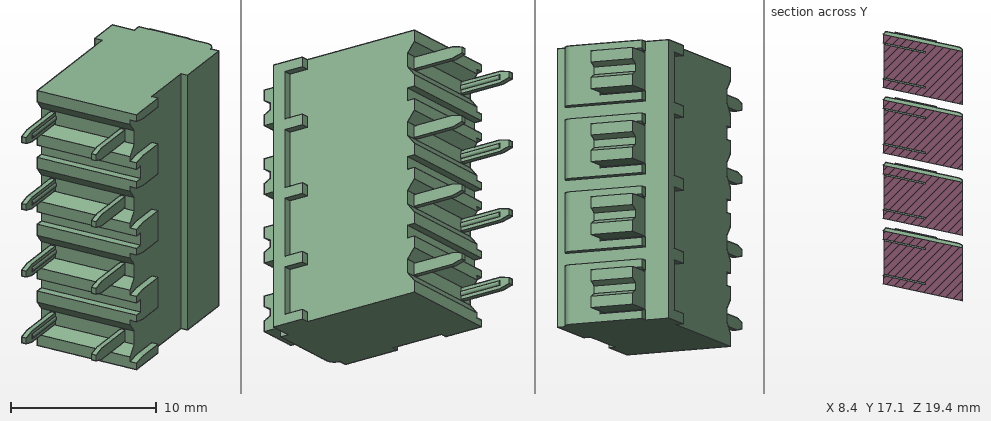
import cadquery as cq

HEIGHT = 19.44
POLE_COUNT = 4
CELL_HEIGHT = 4.16
CELL_GAP = (HEIGHT - POLE_COUNT * CELL_HEIGHT) / (POLE_COUNT - 1)
PITCH = CELL_HEIGHT + CELL_GAP
POLE_CENTRES = [(i - (POLE_COUNT - 1) / 2) * PITCH for i in range(POLE_COUNT)]
GAP_CENTRES = [z + PITCH / 2 for z in POLE_CENTRES[:-1]]

PIN_TAPER_Y = 0.78
BODY_BOTTOM_Y = 3.5
BODY_TOP_Y = 15.07
NOSE_TOP_Y = 15.7
BUTTON_TOP_Y = 17.15

BODY_LEFT_X = 0.58
BODY_RIGHT_X = 8.4
FLANGE_BOTTOM_Y = 12.6
NOTCH_FLOOR_X = 7.9
NOTCH_BOTTOM_Y = 6.53
NOTCH_TOP_Y = 10.65

NOSE_LEFT_X = 1.73
NOSE_RIGHT_X = 7.74

WINDOW_TOP_Y = 14.07
END_RIB = 0.72
MIDDLE_RIB = 0.8

GROOVE_DEPTH = 0.58
GROOVE_FLOOR_Y = BODY_BOTTOM_Y + GROOVE_DEPTH
TROUGH_MOUTH = 2.45
TROUGH_FLOOR = 1.01
CHANNEL_MOUTH = 3.15
CHANNEL_INNER = 2.82
CHANNEL_TAPER_DEPTH = 0.9

BUTTON_LEFT_X = 1.79
BUTTON_RIGHT_X = 4.9
BUTTON_WIDTH = 2.65
BUTTON_NOTCH_MOUTH = 1.07
BUTTON_NOTCH_FLOOR = 0.52
BUTTON_NOTCH_DEPTH = 0.5
SLOT_WIDTH = 2.8
SLOT_MOUTH = 3.03
SLOT_FLARE_DEPTH = 0.3

PIN_CENTRES_X = (1.5, 7.0)
PIN_INWARD_SIGNS = (1, -1)
PIN_THICKNESS = 0.37
PIN_WIDTH = 0.85
PIN_TIP_WIDTH = 0.45
RIDGE_WIDTH = 0.35
RIDGE_HEIGHT = 0.1


def box(x0, x1, y0, y1, z0, z1):
    return cq.Workplane("XY").box(x1 - x0, y1 - y0, z1 - z0, centered=False).translate((x0, y0, z0))


def extrude_along_x(points, x0, x1):
    """Extrude a closed outline of (y, z) points from x0 to x1."""
    return cq.Workplane("YZ").workplane(offset=x0).polyline(points).close().extrude(x1 - x0)


def symmetric(half_outline, z_centre):
    """Mirror (y, half width) points about the centre of a pole into a closed outline."""
    upper = [(y, z_centre + half) for y, half in half_outline]
    lower = [(y, z_centre - half) for y, half in reversed(half_outline)]
    return upper + lower


def housing():
    """Profile of the housing with a rounded nose corner, extruded over the full height."""
    radius = NOSE_TOP_Y - BODY_TOP_Y
    profile = (
        cq.Workplane("XY").workplane(offset=-HEIGHT / 2)
        .moveTo(BODY_LEFT_X, BODY_BOTTOM_Y)
        .lineTo(BODY_RIGHT_X, BODY_BOTTOM_Y)
        .lineTo(BODY_RIGHT_X, NOTCH_BOTTOM_Y)
        .lineTo(NOTCH_FLOOR_X, NOTCH_BOTTOM_Y)
        .lineTo(NOTCH_FLOOR_X, NOTCH_TOP_Y)
        .lineTo(BODY_RIGHT_X, NOTCH_TOP_Y)
        .lineTo(BODY_RIGHT_X, BODY_TOP_Y)
        .lineTo(NOSE_RIGHT_X, BODY_TOP_Y)
        .radiusArc((NOSE_RIGHT_X - radius, NOSE_TOP_Y), -radius)
        .lineTo(NOSE_LEFT_X, NOSE_TOP_Y)
        .lineTo(NOSE_LEFT_X, BODY_TOP_Y)
        .lineTo(0, BODY_TOP_Y)
        .lineTo(0, FLANGE_BOTTOM_Y)
        .lineTo(BODY_LEFT_X, FLANGE_BOTTOM_Y)
        .close()
    )
    return profile.extrude(HEIGHT)


def cell_gap(z):
    """Grooves that part two neighbouring cells on the solder side and on the nose."""
    z0, z1 = z - CELL_GAP / 2, z + CELL_GAP / 2
    solder_side = box(0, BODY_RIGHT_X, BODY_BOTTOM_Y, GROOVE_FLOOR_Y, z0, z1)
    nose_side = box(0, BODY_RIGHT_X, BODY_TOP_Y, NOSE_TOP_Y, z0, z1)
    return solder_side.union(nose_side)


def flange_window(index):
    """Open window in the flange, between the ribs on either side of a pole."""
    z0 = -HEIGHT / 2 + END_RIB if index == 0 else GAP_CENTRES[index - 1] + MIDDLE_RIB / 2
    z1 = HEIGHT / 2 - END_RIB if index == POLE_COUNT - 1 else GAP_CENTRES[index] - MIDDLE_RIB / 2
    return box(0, BODY_LEFT_X, FLANGE_BOTTOM_Y, WINDOW_TOP_Y, z0, z1)


def pin_trough(z):
    """Trough with sloped sides around the two pins of a pole."""
    outline = [(BODY_BOTTOM_Y, TROUGH_MOUTH / 2), (GROOVE_FLOOR_Y, TROUGH_FLOOR / 2)]
    return extrude_along_x(symmetric(outline, z), 0, BODY_RIGHT_X)


def side_channel(z):
    """Channel from the solder side into the side notch, with a tapered mouth."""
    outline = [
        (BODY_BOTTOM_Y, CHANNEL_MOUTH / 2),
        (BODY_BOTTOM_Y + CHANNEL_TAPER_DEPTH, CHANNEL_INNER / 2),
        (NOTCH_BOTTOM_Y, CHANNEL_INNER / 2),
    ]
    return extrude_along_x(symmetric(outline, z), NOTCH_FLOOR_X, BODY_RIGHT_X)


def button_slot(z):
    """Slot in the nose, open towards the flange and flared at its mouth."""
    outline = [
        (BODY_TOP_Y, SLOT_WIDTH / 2),
        (NOSE_TOP_Y - SLOT_FLARE_DEPTH, SLOT_WIDTH / 2),
        (NOSE_TOP_Y, SLOT_MOUTH / 2),
    ]
    return extrude_along_x(symmetric(outline, z), 0, BUTTON_RIGHT_X)


def button(z):
    """Push button with a tapered notch across its end."""
    outline = [
        (BODY_TOP_Y, BUTTON_WIDTH / 2),
        (BUTTON_TOP_Y, BUTTON_WIDTH / 2),
        (BUTTON_TOP_Y, BUTTON_NOTCH_MOUTH / 2),
        (BUTTON_TOP_Y - BUTTON_NOTCH_DEPTH, BUTTON_NOTCH_FLOOR / 2),
    ]
    return extrude_along_x(symmetric(outline, z), BUTTON_LEFT_X, BUTTON_RIGHT_X)


def pin(x, inward, z):
    """Flat solder pin with a tapered tip and a rounded ridge on the face towards the other pin."""
    outline = [(0, PIN_TIP_WIDTH / 2), (PIN_TAPER_Y, PIN_WIDTH / 2), (GROOVE_FLOOR_Y, PIN_WIDTH / 2)]
    blade = extrude_along_x(symmetric(outline, z), x - PIN_THICKNESS / 2, x + PIN_THICKNESS / 2)
    face_x = x + inward * PIN_THICKNESS / 2
    ridge = (
        cq.Workplane("XZ", origin=(0, PIN_TAPER_Y, 0))
        .moveTo(face_x, z - RIDGE_WIDTH / 2)
        .threePointArc((face_x + inward * RIDGE_HEIGHT, z), (face_x, z + RIDGE_WIDTH / 2))
        .close()
        .extrude(PIN_TAPER_Y - GROOVE_FLOOR_Y)
    )
    return blade.union(ridge)


result = housing()
for gap_z in GAP_CENTRES:
    result = result.cut(cell_gap(gap_z))
for pole, pole_z in enumerate(POLE_CENTRES):
    for cutter in (flange_window(pole), pin_trough(pole_z), side_channel(pole_z), button_slot(pole_z)):
        result = result.cut(cutter)
    result = result.union(button(pole_z))
    for pin_x, inward in zip(PIN_CENTRES_X, PIN_INWARD_SIGNS):
        result = result.union(pin(pin_x, inward, pole_z))